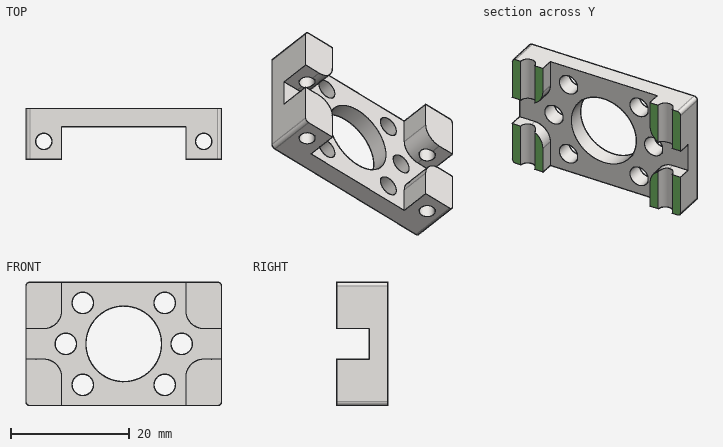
import cadquery as cq

LENGTH = 33.02
DEPTH = 8.62
HEIGHT = 20.85
CORNER_RADIUS = 0.65

PLATE_THICKNESS = 3.15
POST_WIDTH = 6.05
POST_GAP = 5.15
POST_RADIUS = 3.05
POST_HEIGHT = (HEIGHT - POST_GAP) / 2
POST_DEPTH = DEPTH - PLATE_THICKNESS

BORE_DIAMETER = 12.7
MOUNT_DIAMETER = 3.55
MOUNT_CIRCLE_RADIUS = 9.77
MOUNT_ANGLES = (0, 45, 135, 180, 225, 315)
POST_HOLE_DIAMETER = 2.7
POST_HOLE_X = (LENGTH - POST_WIDTH) / 2
POST_HOLE_FROM_FRONT = 3.05


def make_plate():
    """Full-length plate behind the posts."""
    return cq.Workplane("XY").box(LENGTH, PLATE_THICKNESS, HEIGHT).translate((0, POST_DEPTH / 2, 0))


def make_post(x_side, z_side):
    """Corner post with its inward-facing edge rounded."""
    inner_edge = (">X" if x_side < 0 else "<X") + " and " + (">Z" if z_side < 0 else "<Z")
    post = cq.Workplane("XY").box(POST_WIDTH, POST_DEPTH, POST_HEIGHT)
    post = post.edges("|Y").edges(inner_edge).fillet(POST_RADIUS)
    x = x_side * (LENGTH - POST_WIDTH) / 2
    z = z_side * (HEIGHT - POST_HEIGHT) / 2
    return post.translate((x, -PLATE_THICKNESS / 2, z))


def make_plate_holes():
    """Central bore and its circle of mounting holes, along Y."""
    bore = cq.Workplane("XZ").circle(BORE_DIAMETER / 2).extrude(DEPTH, both=True)
    for angle in MOUNT_ANGLES:
        hole = (
            cq.Workplane("XZ")
            .center(MOUNT_CIRCLE_RADIUS, 0)
            .circle(MOUNT_DIAMETER / 2)
            .extrude(DEPTH, both=True)
            .rotate((0, 0, 0), (0, 1, 0), angle)
        )
        bore = bore.union(hole)
    return bore


def make_post_holes():
    """Vertical holes through each upper and lower pair of posts."""
    y = -DEPTH / 2 + POST_HOLE_FROM_FRONT
    return (
        cq.Workplane("XY")
        .pushPoints([(-POST_HOLE_X, y), (POST_HOLE_X, y)])
        .circle(POST_HOLE_DIAMETER / 2)
        .extrude(HEIGHT, both=True)
    )


body = make_plate()
for x_side in (-1, 1):
    for z_side in (-1, 1):
        body = body.union(make_post(x_side, z_side))

rounded_block = cq.Workplane("XY").box(LENGTH, DEPTH, HEIGHT).edges("|Y").fillet(CORNER_RADIUS)
body = body.intersect(rounded_block)

result = body.cut(make_plate_holes()).cut(make_post_holes())